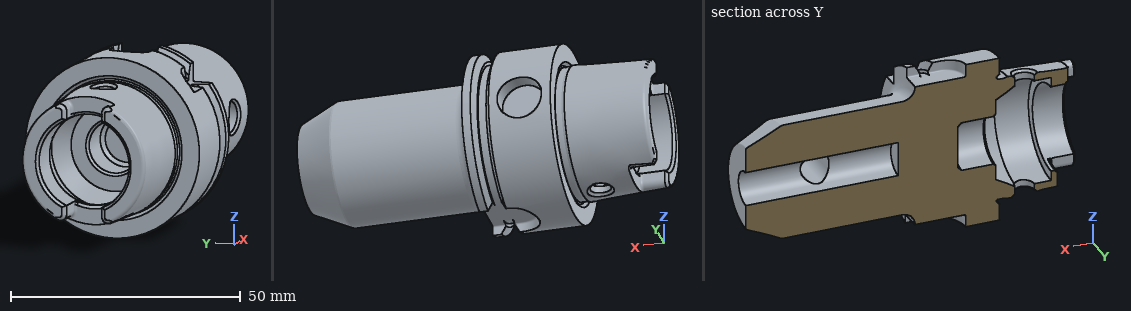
import cadquery as cq
import math


nose_x = -19.9
taper_end_x = -1.8
taper_end_r = 15.05
taper_slope = 0.05
nose_fillet = 0.85
neck_x = -1.1
neck_r = 14.83
nose_start_r = taper_end_r - taper_slope * (taper_end_x - nose_x)

undercut_r = 16.0
undercut_chamfer = 0.4
undercut_depth = 0.7

flange_r = 20.0
flange_end_x = 20.0
groove_x = 16.0
groove_half_mouth = 2.05
groove_half_floor = 1.0
groove_floor_r = 17.4
groove_flank_angle = 30.0
groove_v_depth = (groove_half_mouth - groove_half_floor) / math.tan(math.radians(groove_flank_angle))

body_r = 14.0
body_fillet = 3.0
tip_x = 60.0
tip_r = 10.0
tip_angle = 25.0
tip_fillet = 0.5
shoulder_fillet = 1.0
cone_start_x = tip_x - (body_r - tip_r) / math.tan(math.radians(tip_angle))

mouth_r = 10.97
bore_r = 10.33
mouth_chamfer = mouth_r - bore_r
recess_start_x = -12.15
recess_end_x = -4.1
recess_r = 12.6
cavity_floor_r = 9.75
cavity_cone_angle = 30.0
cavity_floor_x = recess_end_x + (recess_r - cavity_floor_r) / math.tan(math.radians(cavity_cone_angle))

center_mouth_r = 6.37
center_r = 5.8
center_floor_r = 4.93
center_depth = 9.0

nose_slot_floors = {1: -16.2, -1: -13.7}
nose_slot_half_width = 4.03
nose_slot_flare = 0.9
nose_slot_flare_depth = 0.7
nose_slot_corner_r = 1.5
nose_slot_shoulder_z = 12.95
nose_slot_floor_fillet = 0.7

cross_hole_x = -5.9
cross_hole_r = 2.3
cross_hole_mouth_r = 2.95

key_slot_floor_z = 17.0
key_slot_widths = {1: 9.0, -1: 11.0}
key_slot_start_x = 8.0
notch_z = 11.85
notch_y = -11.85
notch_cutter_r = 4.4
cutout_fillet = 0.4
chip_hole_x = 7.0
chip_hole_r = 5.0
chip_hole_depth = 4.5

tool_bore_r = 4.0
tool_bore_depth = 36.0
screw_x = 42.0
screw_hole_r = 3.4
screw_mouth_r = 4.0

clearance = 5.0
drill_clearance = 1.0

arc_mid_inset = 1 - math.sqrt(0.5)


def make_body():
    """Revolve the solid outer shape."""
    groove_left = groove_x - groove_half_mouth
    groove_right = groove_x + groove_half_mouth
    slit_left = groove_x - groove_half_floor
    slit_right = groove_x + groove_half_floor
    groove_v_r = flange_r - groove_v_depth
    fillet_mid = body_fillet * arc_mid_inset
    outline = (
        cq.Workplane("XY")
        .moveTo(nose_x, 0)
        .lineTo(nose_x, nose_start_r)
        .lineTo(taper_end_x, taper_end_r)
        .lineTo(neck_x, neck_r)
        .lineTo(undercut_chamfer, neck_r)
        .lineTo(undercut_depth, (neck_r + undercut_r - undercut_chamfer) / 2)
        .lineTo(undercut_chamfer, undercut_r - undercut_chamfer)
        .lineTo(0, undercut_r)
        .lineTo(0, flange_r)
        .lineTo(groove_left, flange_r)
        .lineTo(slit_left, groove_v_r)
        .lineTo(slit_left, groove_floor_r)
        .lineTo(slit_right, groove_floor_r)
        .lineTo(slit_right, groove_v_r)
        .lineTo(groove_right, flange_r)
        .lineTo(flange_end_x, flange_r)
        .lineTo(flange_end_x, body_r + body_fillet)
        .threePointArc(
            (flange_end_x + fillet_mid, body_r + fillet_mid),
            (flange_end_x + body_fillet, body_r),
        )
        .lineTo(cone_start_x, body_r)
        .lineTo(tip_x, tip_r)
        .lineTo(tip_x, 0)
        .close()
    )
    body = outline.revolve(360, (0, 0, 0), (1, 0, 0))
    body = body.faces("<X").edges().fillet(nose_fillet)
    body = body.faces(">X").edges().fillet(tip_fillet)
    shoulder = cq.selectors.BoxSelector(
        (cone_start_x - clearance, -clearance - body_r, -clearance - body_r),
        (cone_start_x + clearance, clearance + body_r, clearance + body_r),
        boundingbox=True,
    )
    return body.edges(shoulder).edges("%CIRCLE").fillet(shoulder_fillet)


def make_cavity():
    """Clamping cavity with the blind hole in its floor."""
    center_chamfer = center_mouth_r - center_r
    center_end_x = cavity_floor_x + center_depth
    center_cone = center_r - center_floor_r
    profile = [
        (nose_x, 0),
        (nose_x, mouth_r),
        (nose_x + mouth_chamfer, bore_r),
        (recess_start_x, bore_r),
        (recess_start_x, recess_r),
        (recess_end_x, recess_r),
        (cavity_floor_x, cavity_floor_r),
        (cavity_floor_x, center_mouth_r),
        (cavity_floor_x + center_chamfer, center_r),
        (center_end_x - center_cone, center_r),
        (center_end_x, center_floor_r),
        (center_end_x, 0),
    ]
    return cq.Workplane("XY").polyline(profile).close().revolve(360, (0, 0, 0), (1, 0, 0))


def nose_slot_section(x, widening):
    """Slot outline across the axis at x, with all walls moved outward by widening."""
    wall_y = nose_slot_half_width + widening
    corner_r = nose_slot_corner_r - widening
    shoulder_z = nose_slot_shoulder_z - widening
    corner_z = shoulder_z - corner_r
    arc_mid = corner_r * arc_mid_inset
    inner_z = bore_r - clearance
    outer_y = flange_r / 2
    outer_z = flange_r
    return (
        cq.Workplane("YZ", origin=(x, 0, 0))
        .moveTo(-wall_y, inner_z)
        .lineTo(wall_y, inner_z)
        .lineTo(wall_y, corner_z)
        .threePointArc((wall_y + arc_mid, shoulder_z - arc_mid), (wall_y + corner_r, shoulder_z))
        .lineTo(outer_y, shoulder_z)
        .lineTo(outer_y, outer_z)
        .lineTo(-outer_y, outer_z)
        .lineTo(-outer_y, shoulder_z)
        .lineTo(-wall_y - corner_r, shoulder_z)
        .threePointArc((-wall_y - arc_mid, shoulder_z - arc_mid), (-wall_y, corner_z))
        .close()
    )


def make_nose_slot(side, floor_x):
    """Drive slot open to the nose, flared at the front, on the +Z (1) or -Z (-1) side."""
    slot = nose_slot_section(nose_x, 0).extrude(floor_x - nose_x)
    slot = slot.faces(">X").edges().fillet(nose_slot_floor_fillet)
    front = nose_slot_section(nose_x, nose_slot_flare).val()
    back = nose_slot_section(nose_x + nose_slot_flare_depth, 0).val()
    flare = cq.Workplane(cq.Solid.makeLoft([front, back], True))
    bevel = cq.Workplane(
        cq.Solid.makeCone(
            mouth_r, bore_r, mouth_chamfer, cq.Vector(floor_x, 0, 0), cq.Vector(1, 0, 0)
        )
    )
    bevel_width = 2 * nose_slot_half_width
    bevel_limit = cq.Workplane("XY").box(
        2 * -nose_x, bevel_width, flange_r, centered=(True, True, False)
    )
    cutter = slot.union(flare).union(bevel.intersect(bevel_limit))
    if side < 0:
        cutter = cutter.rotate((0, 0, 0), (1, 0, 0), 180)
    return cutter


def make_key_slot(side, width):
    """Round-ended flange slot open toward +X, on the +Z (1) or -Z (-1) side."""
    radius = width / 2
    center_x = key_slot_start_x + radius
    slot = (
        cq.Workplane("XY", origin=(0, 0, key_slot_floor_z))
        .moveTo(flange_end_x + clearance, -radius)
        .lineTo(center_x, -radius)
        .threePointArc((key_slot_start_x, 0), (center_x, radius))
        .lineTo(flange_end_x + clearance, radius)
        .close()
        .extrude(clearance)
        .faces("<Z")
        .edges()
        .fillet(cutout_fillet)
    )
    if side < 0:
        slot = slot.rotate((0, 0, 0), (1, 0, 0), 180)
    return slot


def make_notch():
    """Orientation notch at the -Y, +Z quarter of the flange, open toward +X."""
    center_x = key_slot_start_x + notch_cutter_r
    center_y = notch_y - notch_cutter_r
    arc_mid = notch_cutter_r * (1 - arc_mid_inset)
    return (
        cq.Workplane("XY", origin=(0, 0, notch_z))
        .moveTo(flange_end_x + clearance, notch_y)
        .lineTo(center_x, notch_y)
        .threePointArc((center_x - arc_mid, center_y + arc_mid), (key_slot_start_x, center_y))
        .lineTo(key_slot_start_x, -flange_r - clearance)
        .lineTo(flange_end_x + clearance, -flange_r - clearance)
        .close()
        .extrude(flange_r)
        .faces("<Z")
        .edges()
        .fillet(cutout_fillet)
    )


def make_chip_hole():
    """Blind data chip hole on the +Y side of the flange."""
    start = cq.Vector(chip_hole_x, flange_r - chip_hole_depth, 0)
    return cq.Workplane(
        cq.Solid.makeCylinder(chip_hole_r, chip_hole_depth + clearance, start, cq.Vector(0, 1, 0))
    )


def make_tool_bore():
    """Blind bore for the tool, entering from the tip."""
    start = cq.Vector(tip_x, 0, 0)
    return cq.Workplane(
        cq.Solid.makeCylinder(tool_bore_r, tool_bore_depth, start, cq.Vector(-1, 0, 0))
    )


def drill_radial_hole(body, x, hole_r, mouth_r_outside, surface_r, direction):
    """Drill from the axis outward along direction at x and chamfer the edge at the surface."""
    start = cq.Vector(x, 0, 0)
    drill = cq.Solid.makeCylinder(hole_r, surface_r + drill_clearance, start, direction)
    drilled = body.cut(cq.Workplane(drill), clean=False)
    mouth = start + direction * surface_r
    reach = cq.Vector(1, 1, 1) * (hole_r + drill_clearance)
    near_mouth = cq.selectors.BoxSelector(
        (mouth - reach).toTuple(), (mouth + reach).toTuple(), boundingbox=True
    )
    outermost = cq.selectors.DirectionMinMaxSelector(direction, True)
    return drilled.edges(near_mouth).edges(outermost).chamfer(mouth_r_outside - hole_r)


def drill_cross_holes(body):
    """Countersunk holes through the +Z and -Z walls of the shank."""
    surface_r = taper_end_r + taper_slope * (cross_hole_x - taper_end_x)
    for direction in (cq.Vector(0, 0, 1), cq.Vector(0, 0, -1)):
        body = drill_radial_hole(
            body, cross_hole_x, cross_hole_r, cross_hole_mouth_r, surface_r, direction
        )
    return body


def drill_screw_hole(body):
    """Countersunk screw hole from the -Y side into the tool bore."""
    return drill_radial_hole(
        body, screw_x, screw_hole_r, screw_mouth_r, body_r, cq.Vector(0, -1, 0)
    )


result = make_body().cut(make_cavity(), clean=False).cut(make_tool_bore(), clean=False)
result = drill_cross_holes(result)
result = drill_screw_hole(result)

cutters = [make_nose_slot(side, floor_x) for side, floor_x in nose_slot_floors.items()]
cutters += [make_key_slot(side, width) for side, width in key_slot_widths.items()]
cutters += [make_notch(), make_chip_hole()]
for cutter in cutters:
    result = result.cut(cutter, clean=False)